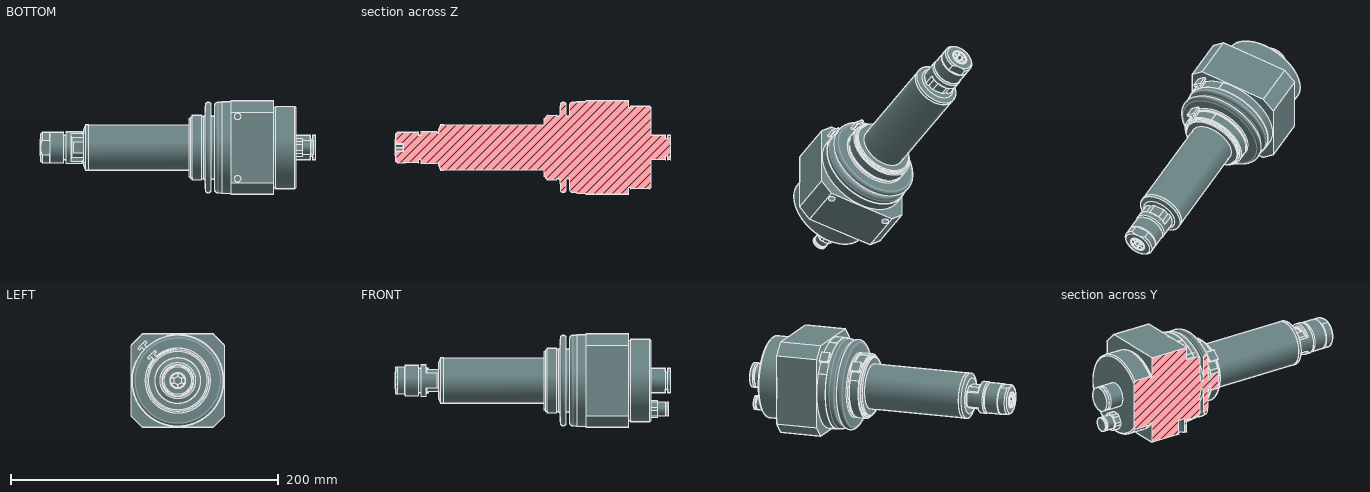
import cadquery as cq
import math

OVERALL_LENGTH = 206.0

RIM_RADIUS = 6.0
RIM_HEIGHT = 0.6
NUT_RADIUS = 11.5
NUT_CHAMFER = 1.2
NUT_FLATS = 20.4
NUT_FLATS_END = 7.6
NUT_SEAM_DEPTH = 0.2
NUT_SEAM_WIDTH = 0.5
NUT_END = 17.7
COLLET_RADIUS = 5.4
COLLET_RECESS = 0.6
COLLET_HEX = 5.4
COLLET_DEPTH = 6.2
COLLET_SLIT = 0.5
JAW_COUNT = 6

SHAFT_RADIUS = 9.3
SHAFT_FLATS = 16.7
SHAFT_CONE_RADIUS = 10.0
DRIVER_RADIUS = 12.0
DRIVER_START = 19.4
DRIVER_END = 23.3
LUG_CHAMFER = 1.2
LUG_WIDTH = 11.3

TUBE_START = 32.7
TUBE_RADIUS = 16.99
TUBE_FACE_RADIUS = 13.4
TUBE_CONE_LENGTH = 1.5
TUBE_BAND_END = 36.5
TUBE_BAND_RADIUS = 17.0

COLLAR_STEP_START = 111.2
COLLAR_STEP_RADIUS = 21.8
COLLAR_RIM_START = 112.5
COLLAR_RIM_RADIUS = 22.95
COLLAR_START = 113.7
COLLAR_END = 120.9
COLLAR_RADIUS = 24.3

HUB_RADIUS = 23.5
GROOVE_EDGE_RADIUS = 24.3
RING_CONE_START = 122.3
RING_CONE_RADIUS = 24.7
RING_START = 123.5
RING_WIDTH = 4.3
RING_RADIUS = 34.0
RING_TAPER = 0.5
DISC_START = 130.3
DISC_ROUND = 2.7
FLANGE_START = 136.1
FLANGE_RADIUS = 34.4

BLOCK_START = 142.7
BLOCK_END = 174.6
BLOCK_SIDE = 70.0
BLOCK_CHAMFER = 8.6
HOLE_DIAMETER = 5.0
HOLE_DEPTH = 11.3
HOLE_SPACING = 46.5
HOLE_SETBACK = 5.0

NECK_END = 176.0
NECK_RADIUS = 30.0
REAR_END = 191.3
REAR_RADIUS = 30.9
REAR_CHAMFER = 1.0
STUB_RADIUS = 9.3
STUB_GROOVE_RADIUS = 6.5
STUB_GROOVE_START = 202.0
STUB_GROOVE_END = 203.7
FITTING_DROP = 21.2
FITTING_HEX = 12.8
FITTING_HEX_CORNER_RADIUS = 6.8
FITTING_HEX_END = 196.2
FITTING_RADIUS = 5.4
FITTING_GROOVE_RADIUS = 5.0
FITTING_GROOVE_START = 202.2
FITTING_GROOVE_END = 203.0
FITTING_END = 204.5

RAIL_ANGLE = 45.0
RAIL_CAP_WIDTH = 7.8
RAIL_CAP_THICKNESS = 1.6
RAIL_STEM_WIDTH = 2.7
RAIL_RISE = 3.7
LABEL_DEPTH = 0.3
COLLAR_LABEL_ANGLES = (23.0, 86.0)
FLANGE_LABEL_ANGLES = (25.0, 76.0)


def cylinder(start, end, radius):
    """Round bar along X."""
    return cq.Workplane("YZ").workplane(offset=start).circle(radius).extrude(end - start)


def cone(start, end, start_radius, end_radius):
    """Truncated cone along X."""
    base = cq.Vector(start, 0, 0)
    return cq.Workplane(cq.Solid.makeCone(start_radius, end_radius, end - start, base, cq.Vector(1, 0, 0)))


def box(start, end, width, height):
    """Rectangular bar along X, centred on the axis."""
    return cq.Workplane("YZ").workplane(offset=start).rect(width, height).extrude(end - start)


def hexagon(start, end, across_flats):
    """Hexagonal bar along X with corners on the +Y and -Y sides."""
    corner_diameter = across_flats / math.cos(math.pi / 6)
    return cq.Workplane("YZ").workplane(offset=start).polygon(6, corner_diameter).extrude(end - start)


def make_nose():
    nut = cylinder(RIM_HEIGHT, NUT_END, NUT_RADIUS).faces("<X").chamfer(NUT_CHAMFER)
    seam_start = NUT_FLATS_END - NUT_SEAM_WIDTH
    seam = cylinder(seam_start, NUT_FLATS_END, NUT_RADIUS)
    nut = nut.cut(seam.cut(cylinder(seam_start, NUT_FLATS_END, NUT_RADIUS - NUT_SEAM_DEPTH)))
    flats = box(0, NUT_FLATS_END, 2 * NUT_RADIUS, NUT_FLATS)
    nut = nut.intersect(flats.union(cylinder(NUT_FLATS_END, NUT_END, NUT_RADIUS)))
    nut = nut.union(cylinder(0, NUT_END, RIM_RADIUS))

    nut = nut.cut(cylinder(0, COLLET_RECESS, COLLET_RADIUS))
    jaw_opening = hexagon(0, COLLET_DEPTH, COLLET_HEX).rotate((0, 0, 0), (1, 0, 0), 360 / JAW_COUNT / 2)
    nut = nut.cut(jaw_opening)
    for i in range(JAW_COUNT // 2):
        slit = box(0, COLLET_DEPTH, COLLET_SLIT, 2 * COLLET_RADIUS)
        nut = nut.cut(slit.rotate((0, 0, 0), (1, 0, 0), i * 360 / JAW_COUNT))
    return nut


def make_driver():
    shaft = cylinder(NUT_END, TUBE_START, SHAFT_RADIUS)
    cone_length = SHAFT_CONE_RADIUS - SHAFT_FLATS / 2
    flats_start = DRIVER_END + cone_length
    flats = box(flats_start, TUBE_START, 2 * SHAFT_RADIUS, SHAFT_FLATS)
    shaft = shaft.intersect(flats.union(cylinder(NUT_END, flats_start, SHAFT_RADIUS)))
    shaft = shaft.union(cone(DRIVER_END, flats_start, SHAFT_CONE_RADIUS, SHAFT_FLATS / 2))

    lugs = cylinder(DRIVER_START, TUBE_START, DRIVER_RADIUS).faces(">X").chamfer(LUG_CHAMFER)
    lugs = lugs.intersect(box(DRIVER_START, TUBE_START, 2 * DRIVER_RADIUS, LUG_WIDTH))
    return shaft.union(cylinder(DRIVER_START, DRIVER_END, DRIVER_RADIUS)).union(lugs)


def make_tube():
    band_start = TUBE_START + TUBE_CONE_LENGTH
    tube = cone(TUBE_START, band_start, TUBE_FACE_RADIUS, TUBE_BAND_RADIUS)
    tube = tube.union(cylinder(band_start, TUBE_BAND_END, TUBE_BAND_RADIUS))
    return tube.union(cylinder(TUBE_BAND_END, COLLAR_START, TUBE_RADIUS))


def make_collar():
    collar = cylinder(COLLAR_STEP_START, COLLAR_START, COLLAR_STEP_RADIUS)
    collar = collar.union(cylinder(COLLAR_RIM_START, COLLAR_START, COLLAR_RIM_RADIUS))
    return collar.union(cylinder(COLLAR_START, COLLAR_END, COLLAR_RADIUS))


def make_sealing_ring():
    """Ring with a fully rounded rim and a slightly tapered front face."""
    ring_end = RING_START + RING_WIDTH
    rim_radius = RING_RADIUS - RING_WIDTH / 2
    profile = (
        cq.Workplane("XY")
        .moveTo(RING_START - RING_TAPER, 0)
        .lineTo(RING_START - RING_TAPER, HUB_RADIUS)
        .lineTo(RING_START, rim_radius)
        .threePointArc((RING_START + RING_WIDTH / 2, RING_RADIUS), (ring_end, rim_radius))
        .lineTo(ring_end, 0)
        .close()
    )
    return profile.revolve(360, (0, 0, 0), (1, 0, 0))


def make_hollow_groove():
    """Band between the ring and the disc whose outer face is hollowed to an arc."""
    start = RING_START + RING_WIDTH
    profile = (
        cq.Workplane("XY")
        .moveTo(start, 0)
        .lineTo(start, GROOVE_EDGE_RADIUS)
        .threePointArc(((start + DISC_START) / 2, HUB_RADIUS), (DISC_START, GROOVE_EDGE_RADIUS))
        .lineTo(DISC_START, 0)
        .close()
    )
    return profile.revolve(360, (0, 0, 0), (1, 0, 0))


def make_seals():
    hub = cylinder(COLLAR_END, RING_START, HUB_RADIUS)
    hub = hub.union(cone(RING_CONE_START, RING_START, HUB_RADIUS, RING_CONE_RADIUS))
    disc = cylinder(DISC_START, FLANGE_START, RING_RADIUS)
    disc = disc.faces("<X").edges().fillet(DISC_ROUND)
    flange = cylinder(FLANGE_START, BLOCK_START, FLANGE_RADIUS)
    return hub.union(make_sealing_ring()).union(make_hollow_groove()).union(disc).union(flange)


def make_block():
    block = box(BLOCK_START, BLOCK_END, BLOCK_SIDE, BLOCK_SIDE).edges("|X").chamfer(BLOCK_CHAMFER)
    underside = cq.Workplane("XY").workplane(offset=-BLOCK_SIDE / 2)
    hole_x = BLOCK_START + HOLE_SETBACK
    hole_points = [(hole_x, -HOLE_SPACING / 2), (hole_x, HOLE_SPACING / 2)]
    return block.cut(underside.pushPoints(hole_points).circle(HOLE_DIAMETER / 2).extrude(HOLE_DEPTH))


def make_rear():
    rear = cylinder(NECK_END, REAR_END, REAR_RADIUS).faces(">X").chamfer(REAR_CHAMFER)
    rear = rear.union(cylinder(BLOCK_END, NECK_END, NECK_RADIUS))
    stub = cylinder(REAR_END, STUB_GROOVE_START, STUB_RADIUS)
    stub = stub.union(cylinder(STUB_GROOVE_START, STUB_GROOVE_END, STUB_GROOVE_RADIUS))
    stub = stub.union(cylinder(STUB_GROOVE_END, OVERALL_LENGTH, STUB_RADIUS))

    nut = hexagon(REAR_END, FITTING_HEX_END, FITTING_HEX)
    nut = nut.intersect(cylinder(REAR_END, FITTING_HEX_END, FITTING_HEX_CORNER_RADIUS))
    fitting = nut.union(cylinder(FITTING_HEX_END, FITTING_GROOVE_START, FITTING_RADIUS))
    fitting = fitting.union(cylinder(FITTING_GROOVE_START, FITTING_GROOVE_END, FITTING_GROOVE_RADIUS))
    fitting = fitting.union(cylinder(FITTING_GROOVE_END, FITTING_END, FITTING_RADIUS))
    return rear.union(stub).union(fitting.translate((0, 0, -FITTING_DROP)))


def make_label_recess(start, end, radius, angles):
    """Thin curved sector at the surface of a round, between two angles measured from +Y toward +Z."""
    first, last = (math.radians(angle) for angle in angles)
    middle = (first + last) / 2
    reach = 2 * radius
    corners = [(reach * math.cos(a), reach * math.sin(a)) for a in (first, middle, last)]
    wedge = cq.Workplane("YZ").workplane(offset=start).polyline([(0, 0)] + corners).close()
    skin = cylinder(start, end, radius).cut(cylinder(start, end, radius - LABEL_DEPTH))
    return skin.intersect(wedge.extrude(end - start))


def make_rail(start, end, radius):
    """T-shaped rail standing on a round, parallel to the axis."""
    root = radius - 2 * LABEL_DEPTH
    top = radius + RAIL_RISE
    stem = cq.Workplane("YZ").workplane(offset=start).center((root + top) / 2, 0)
    stem = stem.rect(top - root, RAIL_STEM_WIDTH).extrude(end - start)
    cap = cq.Workplane("YZ").workplane(offset=start).center(top - RAIL_CAP_THICKNESS / 2, 0)
    cap = cap.rect(RAIL_CAP_THICKNESS, RAIL_CAP_WIDTH).extrude(end - start)
    return stem.union(cap).rotate((0, 0, 0), (1, 0, 0), RAIL_ANGLE)


result = make_nose().union(make_driver()).union(make_tube()).union(make_collar()).union(make_seals())
result = result.union(make_block()).union(make_rear())

marked_rounds = [
    (COLLAR_START, COLLAR_END, COLLAR_RADIUS, COLLAR_LABEL_ANGLES),
    (FLANGE_START, BLOCK_START, FLANGE_RADIUS, FLANGE_LABEL_ANGLES),
]
for start, end, radius, label_angles in marked_rounds:
    result = result.cut(make_label_recess(start, end, radius, label_angles))
    result = result.union(make_rail(start, end, radius))